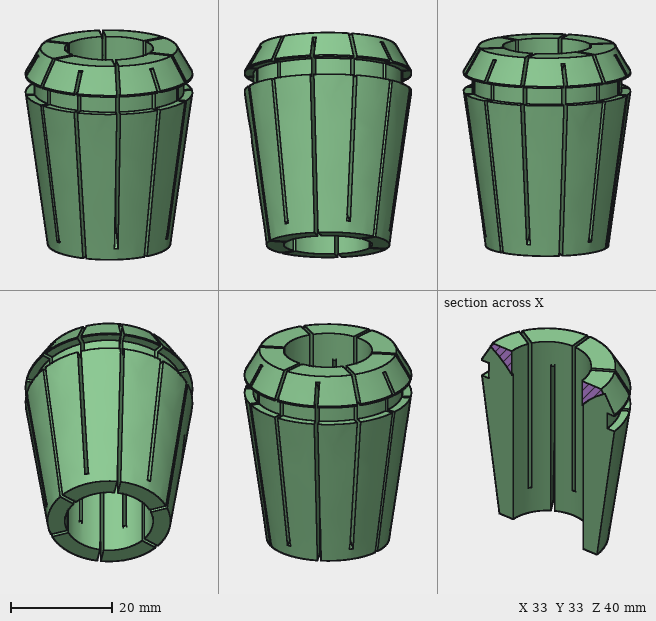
import cadquery as cq
import math

height = 40.0
outer_diameter = 33.0
outer_radius = outer_diameter / 2
bore_radius = 8.7

taper_top_z = 30.95
taper_half_angle = 8.0
taper_slope = math.tan(math.radians(taper_half_angle))
bottom_radius = outer_radius - taper_top_z * taper_slope

groove_radius = 14.75
groove_top_z = 34.5
rim_height = 0.3
nose_base_z = groove_top_z + rim_height
nose_half_angle = 30.0
nose_slope = math.tan(math.radians(nose_half_angle))
top_radius = outer_radius - (height - nose_base_z) * nose_slope

slots_per_end = 6
slot_pitch = 360.0 / slots_per_end
slot_width = 0.7
saw_radius = 22.8
top_slot_bore_z = 5.9
top_slot_outer_z = 2.3
bottom_slot_bore_z = 34.25
bottom_slot_outer_z = 38.95
overrun = 2.0


def make_body():
    """Revolve the collet wall about Z."""
    return (
        cq.Workplane("XZ")
        .moveTo(bore_radius, 0)
        .lineTo(bottom_radius, 0)
        .lineTo(outer_radius, taper_top_z)
        .lineTo(groove_radius, taper_top_z)
        .lineTo(groove_radius, groove_top_z)
        .lineTo(outer_radius, groove_top_z)
        .lineTo(outer_radius, nose_base_z)
        .lineTo(top_radius, height)
        .lineTo(bore_radius, height)
        .close()
        .revolve(360, (0, 0, 0), (0, 1, 0))
    )


def slot_cutter(open_z, bore_z, surface_radius, surface_z, arc_radius):
    """Radial slot along +X, open at open_z, with an arc end from bore to outer surface.

    A positive arc_radius bends the arc clockwise in the XZ plane, a negative one counterclockwise.
    """
    inner = bore_radius - overrun
    outer = outer_radius + overrun
    return (
        cq.Workplane("XZ")
        .moveTo(inner, open_z)
        .lineTo(inner, bore_z)
        .lineTo(bore_radius, bore_z)
        .radiusArc((surface_radius, surface_z), arc_radius)
        .lineTo(outer, surface_z)
        .lineTo(outer, open_z)
        .close()
        .extrude(slot_width / 2, both=True)
    )


def cut_slots(body, cutter, first_angle):
    """Cut one evenly spaced ring of slots."""
    for index in range(slots_per_end):
        body = body.cut(cutter.rotate((0, 0, 0), (0, 0, 1), first_angle + index * slot_pitch))
    return body


top_slot_end_radius = bottom_radius + top_slot_outer_z * taper_slope
bottom_slot_end_radius = top_radius + (height - bottom_slot_outer_z) * nose_slope

top_slot = slot_cutter(
    height + overrun, top_slot_bore_z, top_slot_end_radius, top_slot_outer_z, -saw_radius
)
bottom_slot = slot_cutter(
    -overrun, bottom_slot_bore_z, bottom_slot_end_radius, bottom_slot_outer_z, saw_radius
)

result = make_body()
result = cut_slots(result, top_slot, 0.0)
result = cut_slots(result, bottom_slot, slot_pitch / 2)